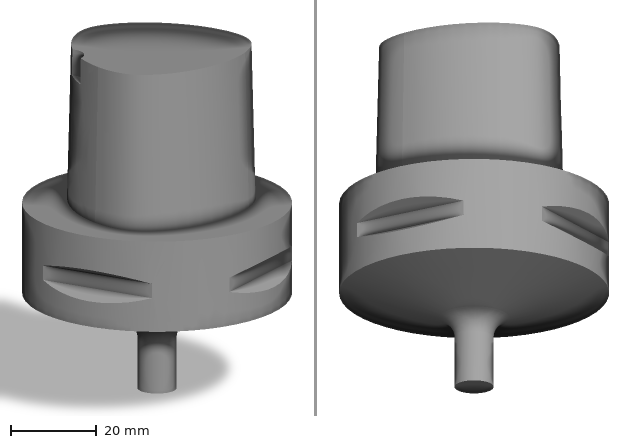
import cadquery as cq
import math

FLANGE_DIAMETER = 63.0
FLANGE_HEIGHT = 22.0
CONE_ANGLE = 15.0
STEM_DIAMETER = 9.1
STEM_FILLET = 5.0
SHANK_HEIGHT = 37.8
TOTAL_HEIGHT = 83.0

SHANK_MEAN_RADIUS = 22.0
SHANK_LOBE_OFFSET = 1.4
SHANK_TAPER = 1 / 40
FLAT_HALF_ANGLE = 23.0
POINTS_PER_FACE = 7

KEYWAY_RADIUS = 5.0
KEYWAY_DEPTH = 6.3
KEYWAY_INNER_REACH = 17.8

GROOVE_COUNT = 4
GROOVE_CENTER_Z = -12.0
GROOVE_FLOOR_DISTANCE = 27.9
GROOVE_FLOOR_HEIGHT = 3.5
GROOVE_FLANK_ANGLE = 30.0

FLANGE_RADIUS = FLANGE_DIAMETER / 2
STEM_RADIUS = STEM_DIAMETER / 2
BOTTOM_Z = SHANK_HEIGHT - TOTAL_HEIGHT


def make_body():
    """Flange, conical underside and stem, turned as one profile."""
    cone = math.radians(CONE_ANGLE)
    corner_z = -FLANGE_HEIGHT - (FLANGE_RADIUS - STEM_RADIUS) * math.tan(cone)
    tangent_length = STEM_FILLET * math.tan((math.pi / 2 - cone) / 2)
    fillet_end_z = corner_z - tangent_length
    center_r = STEM_RADIUS + STEM_FILLET
    cone_end = (
        center_r - STEM_FILLET * math.sin(cone),
        fillet_end_z + STEM_FILLET * math.cos(cone),
    )
    middle_angle = (math.pi / 2 - cone) / 2
    fillet_middle = (
        center_r - STEM_FILLET * math.cos(middle_angle),
        fillet_end_z + STEM_FILLET * math.sin(middle_angle),
    )
    return (
        cq.Workplane("XZ")
        .lineTo(FLANGE_RADIUS, 0)
        .lineTo(FLANGE_RADIUS, -FLANGE_HEIGHT)
        .lineTo(*cone_end)
        .threePointArc(fillet_middle, (STEM_RADIUS, fillet_end_z))
        .lineTo(STEM_RADIUS, BOTTOM_Z)
        .lineTo(0, BOTTOM_Z)
        .close()
        .revolve(360, (0, 0), (0, 1))
    )


def shank_point(mean_radius, degrees, z):
    """Point on the three-lobed curve; parameter 0 is the middle of the -Y flat."""
    t = math.radians(degrees)
    e = SHANK_LOBE_OFFSET
    outward = mean_radius * math.cos(t) - 2 * e * math.cos(2 * t) + e * math.cos(4 * t)
    sideways = mean_radius * math.sin(t) + 2 * e * math.sin(2 * t) + e * math.sin(4 * t)
    return cq.Vector(sideways, -outward, z)


def shank_wire(z):
    """Closed outline of three flatter sides alternating with three lobes."""
    mean_radius = SHANK_MEAN_RADIUS - SHANK_TAPER * z
    edges = []
    for side in range(3):
        flat_start = side * 120 - FLAT_HALF_ANGLE
        flat_end = side * 120 + FLAT_HALF_ANGLE
        for start, end in ((flat_start, flat_end), (flat_end, flat_start + 120)):
            step = (end - start) / (POINTS_PER_FACE - 1)
            points = [shank_point(mean_radius, start + i * step, z) for i in range(POINTS_PER_FACE)]
            edges.append(cq.Edge.makeSpline(points))
    return cq.Wire.assembleEdges(edges)


def make_shank():
    """Tapered three-lobed shank standing on the flange."""
    return cq.Solid.makeLoft([shank_wire(0), shank_wire(SHANK_HEIGHT)], True)


def make_keyway():
    """Round-walled notch at the top of the -Y flat."""
    return (
        cq.Workplane("XY", origin=(0, 0, SHANK_HEIGHT - KEYWAY_DEPTH))
        .center(0, -KEYWAY_INNER_REACH - KEYWAY_RADIUS)
        .circle(KEYWAY_RADIUS)
        .extrude(KEYWAY_DEPTH)
    )


def make_groove(angle):
    """Straight gripper groove with sloping flanks, facing outward at the given angle."""
    depth = FLANGE_RADIUS - GROOVE_FLOOR_DISTANCE
    floor_half = GROOVE_FLOOR_HEIGHT / 2
    mouth_half = floor_half + depth * math.tan(math.radians(GROOVE_FLANK_ANGLE))
    return (
        cq.Workplane("XZ", origin=(0, 0, GROOVE_CENTER_Z))
        .moveTo(GROOVE_FLOOR_DISTANCE, -floor_half)
        .lineTo(FLANGE_RADIUS, -mouth_half)
        .lineTo(FLANGE_RADIUS, mouth_half)
        .lineTo(GROOVE_FLOOR_DISTANCE, floor_half)
        .close()
        .extrude(FLANGE_RADIUS, both=True)
        .rotate((0, 0, 0), (0, 0, 1), angle)
    )


result = make_body().union(make_shank()).cut(make_keyway())
for index in range(GROOVE_COUNT):
    groove_angle = 45 + index * 360 / GROOVE_COUNT
    result = result.cut(make_groove(groove_angle))